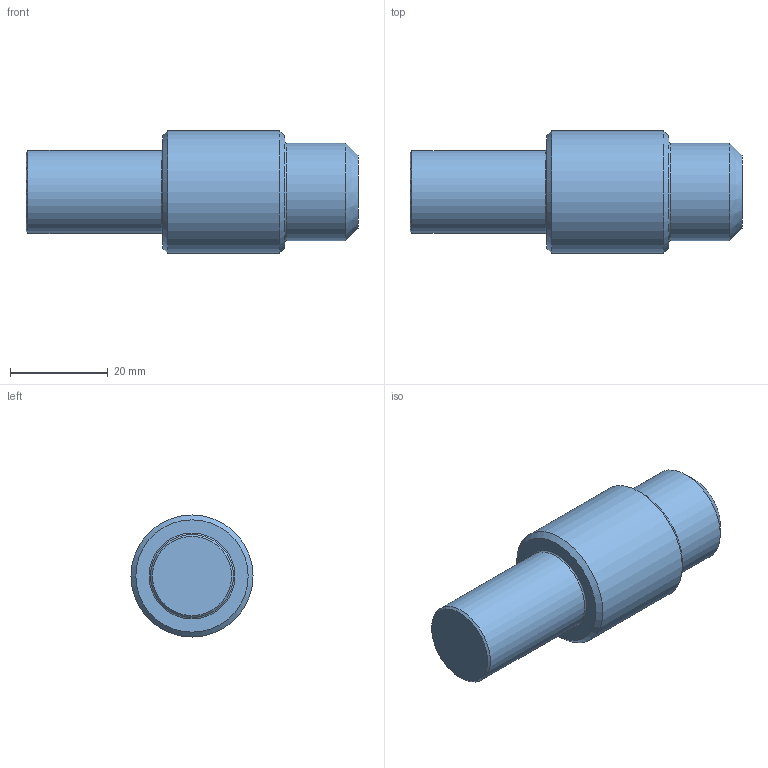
import cadquery as cq
import math

shank_diameter = 17.0
shank_length = 28.0
shank_end_chamfer = 0.4

collar_diameter = 25.0
collar_length = 25.0
collar_chamfer = 1.0

nose_diameter = 20.0
nose_length = 15.0
nose_chamfer = 2.5

root_fillet = 0.3

collar_start = shank_length
collar_end = collar_start + collar_length


def cylinder_along_x(start, length, diameter):
    return cq.Workplane("YZ", origin=(start, 0, 0)).circle(diameter / 2).extrude(length)


def make_shank():
    shank = cylinder_along_x(0, shank_length, shank_diameter)
    return shank.faces("<X").chamfer(shank_end_chamfer)


def make_collar():
    collar = cylinder_along_x(collar_start, collar_length, collar_diameter)
    return collar.faces("<X or >X").chamfer(collar_chamfer)


def make_nose():
    nose = cylinder_along_x(collar_end, nose_length, nose_diameter)
    return nose.faces(">X").chamfer(nose_chamfer)


def make_root_fillet(shoulder, direction, diameter):
    """Disc with a concave quarter-round rim; direction is the sign of X pointing away from the collar."""
    radius = diameter / 2
    fillet_end = shoulder + direction * root_fillet
    center = (fillet_end, radius + root_fillet)
    arc_offset = root_fillet * math.cos(math.radians(45))
    arc_middle = (center[0] - direction * arc_offset, center[1] - arc_offset)
    profile = (
        cq.Workplane("XY")
        .moveTo(shoulder, 0)
        .lineTo(fillet_end, 0)
        .lineTo(fillet_end, radius)
        .threePointArc(arc_middle, (shoulder, radius + root_fillet))
        .close()
    )
    return profile.revolve(360, (0, 0, 0), (1, 0, 0))


result = (
    make_collar()
    .union(make_shank())
    .union(make_nose())
    .union(make_root_fillet(collar_start, -1, shank_diameter))
    .union(make_root_fillet(collar_end, 1, nose_diameter))
)